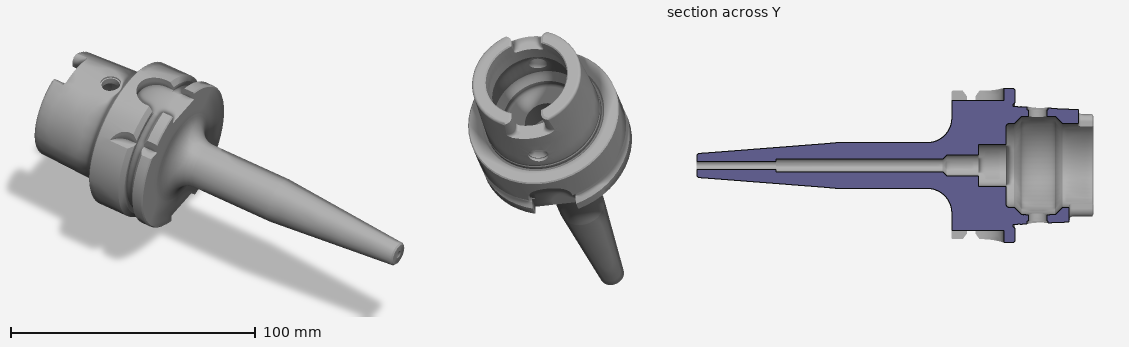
import cadquery as cq
import math

FLANGE_X = 32.0
MOUTH_R = 22.8
TAPER_END_X = 29.8
TAPER_END_R = 24.1
MOUTH_ROUND = 1.22
NECK_X = 30.8
NECK_DIP_R = 24.0
NECK_R = 24.3
FACE_RELIEF_R = 25.6
FACE_RELIEF_DEPTH = 0.6

FLANGE_R = 63.0 / 2
FLANGE_LENGTH = 26.0
FLANGE_END_X = FLANGE_X + FLANGE_LENGTH
FLANGE_BEVEL = 0.5
GROOVE_X = 49.9
GROOVE_R = 27.5
GROOVE_TOP_HALF = 3.4
GROOVE_BOTTOM_HALF = 1.8
GROOVE_SLOPE_DEPTH = 2.1

SHAFT_R = 19.0 / 2
SHAFT_ROUND = 9.9
NOSE_X = 104.5
TIP_X = 162.0
TIP_R = 10.0 / 2
TIP_BEVEL = 0.6

BORE_R = 34.0 / 2
BORE_BEVEL = 0.5
RECESS_R = 40.0 / 2
RECESS_X = 12.6
RECESS_END_X = 32.4
FLOOR_X = 35.6
FLOOR_ROUND = 1.1
TUBE_R = 16.8 / 2
TUBE_END_X = 47.0
DRILL_R = 8.5 / 2
DRILL_END_X = 60.0
SCREW_R = 5.0 / 2
SCREW_END_X = 129.6
TOOL_R = 3.2 / 2

RADIAL_X = 22.8
RADIAL_R = 7.5 / 2
RADIAL_RIM_R = 8.5 / 2
RADIAL_RIM_Z = 22.7

KEY_HALF = 6.2
KEY_LIP_Z = 20.9
KEY_ROUND = 3.0
KEY_CORNER = 1.5
KEY_BEVEL_WIDTH = 1.0
KEY_BEVEL_DEPTH = 0.4
KEY_DEPTH_TOP = 6.2
KEY_DEPTH_BOTTOM = 9.9

SLOT_FLOOR_Z = 26.5
SLOT_END_X = 36.8
SLOT_HALF_TOP = 8.1
SLOT_HALF_BOTTOM = 9.0
NOTCH_Y = -20.1
NOTCH_Z = 19.8
NOTCH_R = 8.0
NOTCH_X = 45.0

CLEAR = 40.5


def turned_body():
    """Solid of revolution: shank, flange, shaft and nose."""
    slope_r = FLANGE_R - GROOVE_SLOPE_DEPTH
    blend_mid = SHAFT_ROUND * (1 - math.sqrt(0.5))
    round_mid = MOUTH_ROUND * (1 - math.sqrt(0.5))
    profile = (
        cq.Workplane("XY")
        .moveTo(0, 0)
        .lineTo(0, MOUTH_R - MOUTH_ROUND)
        .threePointArc((round_mid, MOUTH_R - round_mid), (MOUTH_ROUND, MOUTH_R))
        .lineTo(TAPER_END_X, TAPER_END_R)
        .lineTo(NECK_X, NECK_DIP_R)
        .lineTo(NECK_X + NECK_R - NECK_DIP_R, NECK_R)
        .lineTo(FLANGE_X + FACE_RELIEF_DEPTH, NECK_R)
        .lineTo(FLANGE_X + FACE_RELIEF_DEPTH, FACE_RELIEF_R - FACE_RELIEF_DEPTH)
        .lineTo(FLANGE_X, FACE_RELIEF_R)
        .lineTo(FLANGE_X, FLANGE_R - FLANGE_BEVEL)
        .lineTo(FLANGE_X + FLANGE_BEVEL, FLANGE_R)
        .lineTo(GROOVE_X - GROOVE_TOP_HALF, FLANGE_R)
        .lineTo(GROOVE_X - GROOVE_BOTTOM_HALF, slope_r)
        .lineTo(GROOVE_X - GROOVE_BOTTOM_HALF, GROOVE_R)
        .lineTo(GROOVE_X + GROOVE_BOTTOM_HALF, GROOVE_R)
        .lineTo(GROOVE_X + GROOVE_BOTTOM_HALF, slope_r)
        .lineTo(GROOVE_X + GROOVE_TOP_HALF, FLANGE_R)
        .lineTo(FLANGE_END_X - FLANGE_BEVEL, FLANGE_R)
        .lineTo(FLANGE_END_X, FLANGE_R - FLANGE_BEVEL)
        .lineTo(FLANGE_END_X, SHAFT_R + SHAFT_ROUND)
        .threePointArc(
            (FLANGE_END_X + blend_mid, SHAFT_R + blend_mid),
            (FLANGE_END_X + SHAFT_ROUND, SHAFT_R),
        )
        .lineTo(NOSE_X, SHAFT_R)
        .lineTo(TIP_X - TIP_BEVEL, TIP_R)
        .lineTo(TIP_X, TIP_R - TIP_BEVEL)
        .lineTo(TIP_X, 0)
        .close()
    )
    return profile.revolve(360, (0, 0, 0), (1, 0, 0))


def stepped_bore():
    """Centre bore cutter from the mouth to the tip."""
    recess_step = RECESS_R - BORE_R
    floor_bend = FLOOR_ROUND * (1 - math.sqrt(0.5))
    profile = (
        cq.Workplane("XY")
        .moveTo(0, 0)
        .lineTo(0, BORE_R + BORE_BEVEL)
        .lineTo(BORE_BEVEL, BORE_R)
        .lineTo(RECESS_X, BORE_R)
        .lineTo(RECESS_X + recess_step, RECESS_R)
        .lineTo(RECESS_END_X - recess_step, RECESS_R)
        .lineTo(RECESS_END_X, BORE_R)
        .lineTo(FLOOR_X - FLOOR_ROUND, BORE_R)
        .threePointArc((FLOOR_X - floor_bend, BORE_R - floor_bend), (FLOOR_X, BORE_R - FLOOR_ROUND))
        .lineTo(FLOOR_X, TUBE_R)
        .lineTo(TUBE_END_X, TUBE_R)
        .lineTo(TUBE_END_X, DRILL_R)
        .lineTo(DRILL_END_X, DRILL_R)
        .lineTo(DRILL_END_X + DRILL_R - SCREW_R, SCREW_R)
        .lineTo(SCREW_END_X, SCREW_R)
        .lineTo(SCREW_END_X, TOOL_R)
        .lineTo(TIP_X, TOOL_R)
        .lineTo(TIP_X, 0)
        .close()
    )
    return profile.revolve(360, (0, 0, 0), (1, 0, 0))


def radial_hole():
    """Half of the cross hole on the +Z side, with its wider rim."""
    hole = cq.Workplane("XY").center(RADIAL_X, 0).circle(RADIAL_R).extrude(CLEAR)
    rim = (
        cq.Workplane("XY", origin=(RADIAL_X, 0, RADIAL_RIM_Z))
        .circle(RADIAL_RIM_R)
        .extrude(CLEAR - RADIAL_RIM_Z)
    )
    return hole.union(rim)


def add_keyway_outline(plane, grow):
    """Draw the keyway section across X, with every wall moved outwards by grow."""
    half = KEY_HALF + grow
    lip_z = KEY_LIP_Z - grow
    radius = KEY_ROUND - grow
    bend = radius * (1 - math.sqrt(0.5))
    return (
        plane.moveTo(-half, 0)
        .lineTo(half, 0)
        .lineTo(half, lip_z - radius)
        .threePointArc((half + bend, lip_z - bend), (half + radius, lip_z))
        .lineTo(CLEAR, lip_z)
        .lineTo(CLEAR, CLEAR)
        .lineTo(-CLEAR, CLEAR)
        .lineTo(-CLEAR, lip_z)
        .lineTo(-half - radius, lip_z)
        .threePointArc((-half - bend, lip_z - bend), (-half, lip_z - radius))
        .close()
    )


def keyway(depth):
    """Keyway cutter on the +Z side with rounded inner corners and a bevelled mouth."""
    slot = add_keyway_outline(cq.Workplane("YZ"), 0).extrude(depth)
    slot = slot.faces(">X").edges().fillet(KEY_CORNER)
    mouth = add_keyway_outline(cq.Workplane("YZ"), KEY_BEVEL_WIDTH)
    bevel = add_keyway_outline(mouth.workplane(offset=KEY_BEVEL_DEPTH), 0).loft(ruled=True)
    return slot.union(bevel)


def flange_slot(half_width):
    """Round-ended slot cutter on the +Z side, open towards the shaft."""
    centre_x = SLOT_END_X + half_width
    base = cq.Workplane("XY").workplane(offset=SLOT_FLOOR_Z)
    return (
        base.moveTo(centre_x, -half_width)
        .lineTo(FLANGE_END_X, -half_width)
        .lineTo(FLANGE_END_X, half_width)
        .lineTo(centre_x, half_width)
        .threePointArc((SLOT_END_X, 0), (centre_x, -half_width))
        .close()
        .extrude(CLEAR - SLOT_FLOOR_Z)
    )


def index_notch():
    """Corner notch on the -Y, +Z side: flat floor, straight wall and a rounded end."""
    bend = NOTCH_R * (1 - math.sqrt(0.5))
    return (
        cq.Workplane("XY")
        .workplane(offset=NOTCH_Z)
        .moveTo(FLANGE_END_X, NOTCH_Y)
        .lineTo(NOTCH_X, NOTCH_Y)
        .threePointArc(
            (NOTCH_X - NOTCH_R + bend, NOTCH_Y - bend),
            (NOTCH_X - NOTCH_R, NOTCH_Y - NOTCH_R),
        )
        .lineTo(FLANGE_END_X, NOTCH_Y - NOTCH_R)
        .close()
        .extrude(CLEAR - NOTCH_Z)
    )


def on_bottom(cutter):
    """Turn a +Z cutter half a turn about X."""
    return cutter.rotate((0, 0, 0), (1, 0, 0), 180)


result = (
    turned_body()
    .cut(stepped_bore())
    .cut(radial_hole())
    .cut(on_bottom(radial_hole()))
    .cut(keyway(KEY_DEPTH_TOP))
    .cut(on_bottom(keyway(KEY_DEPTH_BOTTOM)))
    .cut(flange_slot(SLOT_HALF_TOP))
    .cut(on_bottom(flange_slot(SLOT_HALF_BOTTOM)))
    .cut(index_notch())
)